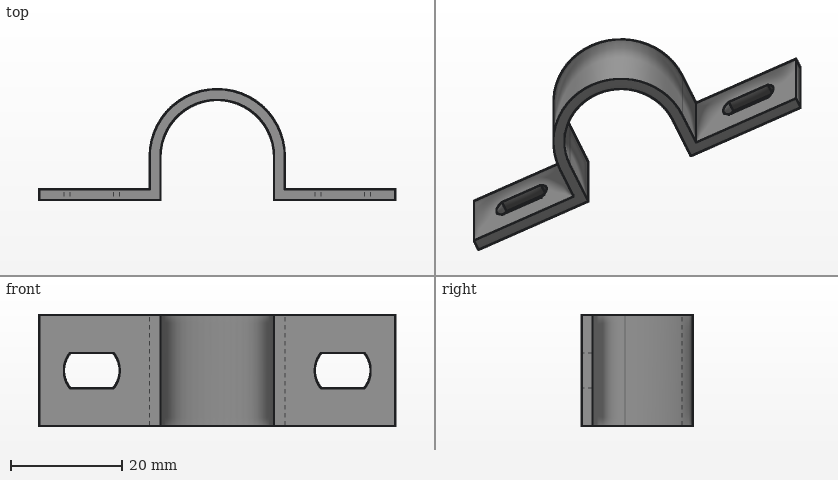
import cadquery as cq

length = 64.0
depth = 20.0
height = 20.0
thickness = 2.0
inner_radius = 10.2
hole_diameter = 10.0
hole_flat_height = 6.3
hole_offset = 22.5

outer_radius = inner_radius + thickness
arc_center_y = depth - outer_radius


def clamp_strip():
    """Saddle profile: two flat feet joined by a round-topped arch, with feet at Y = 0."""
    return (
        cq.Workplane("XY")
        .moveTo(-length / 2, 0)
        .lineTo(-inner_radius, 0)
        .lineTo(-inner_radius, arc_center_y)
        .threePointArc((0, arc_center_y + inner_radius), (inner_radius, arc_center_y))
        .lineTo(inner_radius, 0)
        .lineTo(length / 2, 0)
        .lineTo(length / 2, thickness)
        .lineTo(outer_radius, thickness)
        .lineTo(outer_radius, arc_center_y)
        .threePointArc((0, depth), (-outer_radius, arc_center_y))
        .lineTo(-outer_radius, thickness)
        .lineTo(-length / 2, thickness)
        .close()
        .extrude(height)
    )


def double_flat_hole(center_x):
    """Cutter for a round hole with flat top and bottom, passing through a foot along Y."""
    foot_face = cq.Workplane("XZ", origin=(center_x, 0, height / 2))
    disc = foot_face.circle(hole_diameter / 2).extrude(-thickness)
    band = foot_face.rect(hole_diameter, hole_flat_height).extrude(-thickness)
    return disc.intersect(band)


result = clamp_strip()
for side in (-1, 1):
    result = result.cut(double_flat_hole(side * hole_offset))